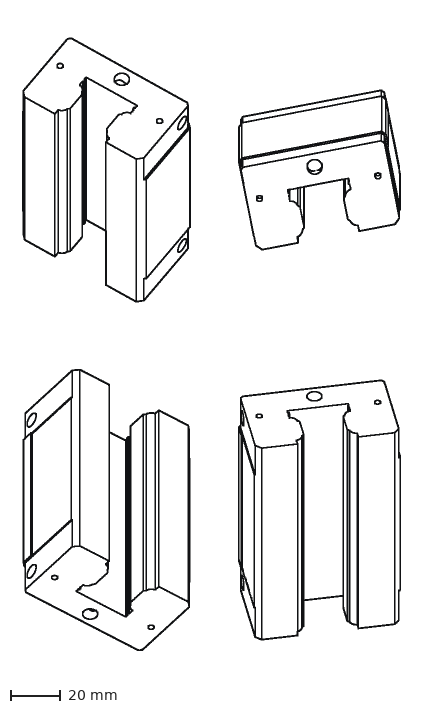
import cadquery as cq
import math

length = 97.2
body_length = 67.6
body_half_width = 30.0
body_depth = 35.35
cap_inset = 0.7
cap_half_width = body_half_width - cap_inset
cap_depth = body_depth - cap_inset

foot_half_width = 27.1
body_back_chamfer = 1.5
cap_back_chamfer = 1.1

ledge_relief = 0.35
ledge_top = 28.8

channel_half_width = 12.4
channel_depth = 22.05
lip_half_gap = 8.87
lip_half_height = 4.3
raceway_axis_y = 9.95
roll_diameter = 6.4
roll_x = 12.8
roll_offset = 4.35
lip_chamfer = 0.8
bead_height = 0.45
bead_width = 1.0
bead_y = 20.15

port_diameter = 6.0
port_y = 29.3
port_from_end = 6.9
screw_hole_diameter = 2.4
screw_hole_x = 24.15
screw_hole_y = 20.8
screw_hole_depth = 6.0
drill_tip_angle = 118.0


def outer_block(half_width, depth, back_chamfer, height):
    """Block along Z with 45 degree chamfers on its four long edges."""
    front_chamfer = half_width - foot_half_width
    right_side = [
        (foot_half_width, 0),
        (half_width, front_chamfer),
        (half_width, depth - back_chamfer),
        (half_width - back_chamfer, depth),
    ]
    left_side = [(-x, y) for x, y in reversed(right_side)]
    outline = cq.Workplane("XY").polyline(right_side + left_side).close()
    return outline.extrude(height / 2, both=True)


def ledge_cut():
    """Material removed below the ledge on the -X side of the body."""
    relieved_x = -body_half_width + ledge_relief
    outline = [
        (-body_half_width, 0),
        (relieved_x, 0),
        (relieved_x, ledge_top - ledge_relief),
        (-body_half_width, ledge_top),
    ]
    return cq.Workplane("XY").polyline(outline).close().extrude(body_length / 2, both=True)


def channel_cut():
    """Full-length rectangular channel, open along Y = 0."""
    opening = cq.Workplane("XY").center(0, channel_depth / 2).rect(2 * channel_half_width, channel_depth)
    return opening.extrude(length / 2, both=True)


def raceway(side):
    """Raceway rib on one wall of the channel (side is +1 or -1)."""
    shoulder_x = lip_half_gap + lip_chamfer
    shoulder = lip_half_height + lip_chamfer
    half_profile = [
        (roll_x, shoulder),
        (shoulder_x, shoulder),
        (lip_half_gap, lip_half_height),
    ]
    profile = half_profile + [(x, -y) for x, y in reversed(half_profile)]
    points = [(side * x, raceway_axis_y + y) for x, y in profile]
    rib = cq.Workplane("XY").polyline(points).close().extrude(length / 2, both=True)
    roll_centres = [(side * roll_x, raceway_axis_y + offset) for offset in (-roll_offset, roll_offset)]
    rolls = cq.Workplane("XY").pushPoints(roll_centres).circle(roll_diameter / 2)
    return rib.union(rolls.extrude(length / 2, both=True))


def bead(side):
    """Narrow strip along one wall near the channel floor."""
    centre_x = side * channel_half_width
    strip = cq.Workplane("XY").center(centre_x, bead_y).rect(2 * bead_height, bead_width)
    return strip.extrude(length / 2, both=True)


def port_holes(end):
    """Cross hole through one end cap and the end hole that meets it (end is +1 or -1)."""
    cross_z = end * (length / 2 - port_from_end)
    cross_start = cq.Vector(-body_half_width, port_y, cross_z)
    cross_hole = cq.Solid.makeCylinder(
        port_diameter / 2, 2 * body_half_width, cross_start, cq.Vector(1, 0, 0)
    )
    end_start = cq.Vector(0, port_y, cross_z)
    end_hole = cq.Solid.makeCylinder(port_diameter / 2, port_from_end, end_start, cq.Vector(0, 0, end))
    return cq.Workplane(cross_hole).union(cq.Workplane(end_hole))


def screw_hole(x, end):
    """Blind hole with a drill tip, sunk from one end face."""
    radius = screw_hole_diameter / 2
    tip_length = radius / math.tan(math.radians(drill_tip_angle / 2))
    inward = cq.Vector(0, 0, -end)
    mouth = cq.Vector(x, screw_hole_y, end * length / 2)
    bore = cq.Solid.makeCylinder(radius, screw_hole_depth, mouth, inward)
    tip = cq.Solid.makeCone(radius, 0, tip_length, mouth + inward * screw_hole_depth, inward)
    return cq.Workplane(bore).union(cq.Workplane(tip))


body = outer_block(body_half_width, body_depth, body_back_chamfer, body_length).cut(ledge_cut())
carriage = outer_block(cap_half_width, cap_depth, cap_back_chamfer, length).union(body)

carriage = carriage.cut(channel_cut())
for side in (-1, 1):
    carriage = carriage.union(raceway(side)).union(bead(side))

for end in (-1, 1):
    carriage = carriage.cut(port_holes(end))
    for side in (-1, 1):
        carriage = carriage.cut(screw_hole(side * screw_hole_x, end))

result = carriage